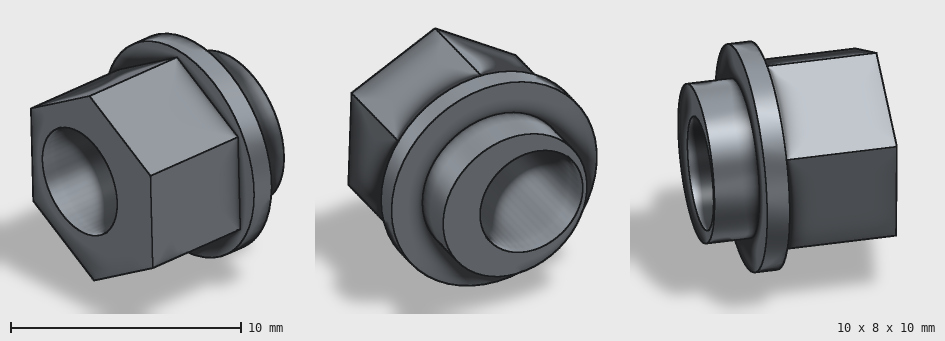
import cadquery as cq
import math

hex_length = 5.0
flange_thickness = 1.0
spigot_length = 2.0
total_length = hex_length + flange_thickness + spigot_length

hex_across_flats = 8.0
flange_diameter = 10.0
spigot_diameter = 7.0
bore_diameter = 5.0

bore_offset = 0.8
turn_angle = 1.9


def section_plane(y):
    """Plane across the axis at y, with its normal along -Y."""
    return cq.Workplane("XZ", origin=(0, y, 0))


def cylinder(y_start, length, diameter):
    """Cylinder on the part axis, running toward +Y."""
    return section_plane(y_start).circle(diameter / 2).extrude(-length)


hex_corner_diameter = hex_across_flats / math.cos(math.radians(30))
corner_angle = 90 + turn_angle
head = (
    section_plane(0)
    .transformed(rotate=(0, 0, corner_angle))
    .polygon(6, hex_corner_diameter)
    .extrude(-hex_length)
)

flange = cylinder(hex_length, flange_thickness, flange_diameter)
spigot = cylinder(hex_length + flange_thickness, spigot_length, spigot_diameter)

bore_direction = math.radians(180 + turn_angle)
bore_x = bore_offset * math.cos(bore_direction)
bore_z = bore_offset * math.sin(bore_direction)
bore = cylinder(0, total_length, bore_diameter).translate((bore_x, 0, bore_z))

result = head.union(flange).union(spigot).cut(bore)